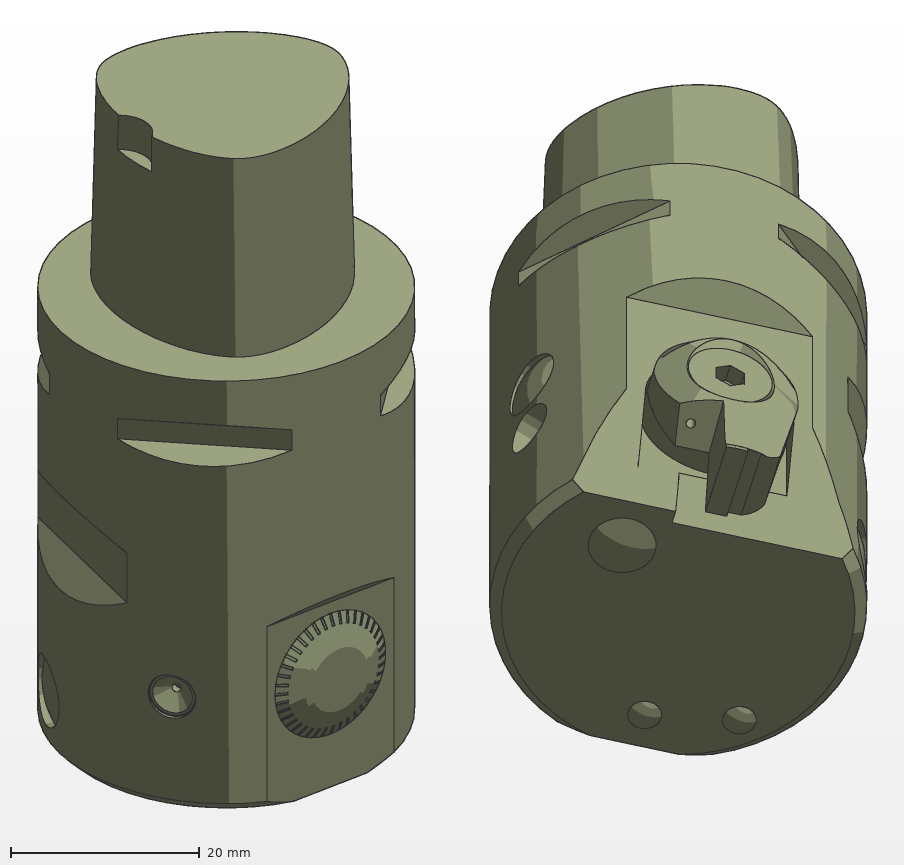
import cadquery as cq
import math


BODY_RADIUS = 20.0
BODY_BOTTOM = -53.1
BOTTOM_CHAMFER = 1.25

SHANK_HEIGHT = 24.0
POLYGON_MEAN_RADIUS = 14.0
POLYGON_ECCENTRICITY = 1.0
TAPER_PER_SIDE = 1 / 40
SPLINE_STEPS = 8
NOTCH_RADIUS = 3.65
NOTCH_CENTRE_Y = -14.45
NOTCH_DEPTH = 4.2

CUT_REACH = 25.0
CUT_HALF_WIDTH = 30.0
OVERRUN = 1.0
GRIP_DISTANCE = 17.7
GRIP_Z = -7.95
GRIP_FLOOR_HALF = 1.25
GRIP_SLOPE = 0.577
FLAT_SLOPE = 1.0
FLAT_DISTANCE = 17.2
FLAT_TOP = -22.9
MARK_FLAT_BOTTOM = -28.95
MARK_FLAT_ANGLE = 260.0
DIAL_FLAT_DISTANCE = 18.1
DIAL_FLAT_TOP = -30.4

ARM_AXIS_Z = -39.2

RELIEF_SLOPE = 0.32
STEEP_RELIEF_TOP = -47.6
STEEP_RELIEF_SLOPE = 0.595
STEEP_RELIEF_EDGE_Y = 3.65
POCKET_RADIUS = 8.15
POCKET_FLOOR_X = -14.2

ARM_RADIUS = 7.9
ARM_BACK_X = -17.25
ARM_CONE_START_X = -19.95
ARM_FRONT_RADIUS = 12.2
ARM_TIP_Z = -56.0
ARM_TIP_X = -24.5
ARM_FRONT_TOP_X = -22.2
ARM_INSERT_Z = -52.2
ARM_INSERT_X = -23.72
NUB_ROOT_Z = -55.0
NUB_ROOT_X = -24.05
NUB_FACE_Z = -55.5
TIP_EDGE_Y = 1.15
TIP_LAND = 2.35
TIP_STEP = 0.6
SIDE_START_DROP = 1.5
SIDE_END = (-5.2, -53.2)
CORNER_MIDDLE = (-4.1, -54.6)
CORNER_END = (-2.75, ARM_TIP_Z + TIP_STEP)
HEEL_MIDDLE = (6.75, -44.2)
HEEL_END = (4.9, -47.6)
SHELF_FRONT_Z = -45.9
BACK_TILT_Z = -47.4
BACK_TILT_X = 1.65
COOLANT_HOLE_DIAMETER = 1.0
COOLANT_HOLE_Y = 3.9
COOLANT_HOLE_X = -20.0
COOLANT_HOLE_DEPTH = 4.0

SCREW_HEAD_DIAMETER = 9.2
SCREW_FACE_X = -21.65
SCREW_HEAD_BOTTOM_X = -17.6
SCREW_SHANK_DIAMETER = 5.0
SCREW_END_X = -8.0
HEX_ACROSS_CORNERS = 3.6
HEX_DEPTH = 2.0
SCREW_WELL_FLARE = 1.15

DIAL_BASE_RADIUS = 7.4
DIAL_RIM_RADIUS = 4.4
DIAL_FACE_RADIUS = 7.54 / 2
DIAL_RIM_X = 19.5
DIAL_FACE_X = 19.7
DIAL_SEAT_DEPTH = 3.0
DIAL_MARK_COUNT = 40
DIAL_MARK_LENGTH = 1.4
DIAL_MARK_WIDTH = 0.3
DIAL_MARK_DEPTH = 0.15

PLUG_DEPTH = 4.0
FRONT_PLUG = {"radius": 8.02 / 2, "rim": 19.05, "apex": 19.95}
FRONT_PLUG_ANGLE = 248.5
FRONT_PLUG_Z = -46.4
REAR_PLUG = {"radius": 7.54 / 2, "rim": 19.35, "apex": 20.4}
REAR_PLUG_ANGLE = 113.0
REAR_PLUG_Z = -28.9
BOTTOM_PLUG_RISE = 0.9
BOTTOM_PLUG = {"radius": 3.6, "rim": -BODY_BOTTOM, "apex": -BODY_BOTTOM + BOTTOM_PLUG_RISE}
BOTTOM_PLUG_XY = (-7.0, 8.0)
BUTTON_RADIUS = 1.8
BUTTON_HEIGHT = 0.55
BUTTON_XY = [(12.1, -9.9), (14.0, 0.0)]

SIDE_HOLE_DIAMETER = 6.0
SIDE_HOLE_ANGLE = 112.3
SIDE_HOLE_Z = -36.5
SIDE_HOLE_FLOOR = 14.0

SET_SCREW_ANGLE = 305.5
SET_SCREW_RADIUS = 5.01 / 2
SET_SCREW_RECESS_RADIUS = 5.25 / 2
SET_SCREW_FACE = 19.6
SET_SCREW_DISH_DEPTH = 1.5
SET_SCREW_DISH_RADIUS = 2.2
SET_SCREW_PIN_HOLE_RADIUS = 0.5
SET_SCREW_PIN_HOLE_DEPTH = 1.0
SET_SCREW_END = 14.0


def turned(points, arc_to=None):
    """Revolve a closed (radius, height) outline about Z; arc_to is an optional (middle, end) arc."""
    outline = cq.Workplane("XZ").polyline(points)
    if arc_to:
        outline = outline.threePointArc(*arc_to)
    return outline.close().revolve(360, (0, 0), (0, 1))


def aim_radially(shape, angle, z):
    """Turn a shape built along +Z so that it points outwards from the axis at the given angle."""
    return shape.rotate((0, 0, 0), (0, 1, 0), 90).rotate((0, 0, 0), (0, 0, 1), angle).translate((0, 0, z))


def aim_down(shape, position):
    """Turn a shape built along +Z so that it points down at the given (x, y)."""
    return shape.rotate((0, 0, 0), (1, 0, 0), 180).translate((*position, 0))


def rod(radius, start, end):
    return cq.Workplane("XY").workplane(offset=start).circle(radius).extrude(end - start)


def rod_along_x(radius, start, end):
    return aim_radially(rod(radius, start, end), 0, ARM_AXIS_Z)


def chordal_cut(profile, angle):
    """Prism of a (radius, z) profile running right across the head, square to the given angle."""
    prism = cq.Workplane("XZ").polyline(profile).close().extrude(CUT_HALF_WIDTH, both=True)
    return prism.rotate((0, 0, 0), (0, 0, 1), angle)


def flat_cut(distance, top, bottom, slope, angle):
    """Flat between two heights, with walls that open outwards by slope."""
    flare = (CUT_REACH - distance) * slope
    profile = [(distance, top), (CUT_REACH, top + flare), (CUT_REACH, bottom - flare), (distance, bottom)]
    return chordal_cut(profile, angle)



def polygon_point(theta, mean_radius, z):
    """Point of a three-lobed constant-width polygon with one lobe towards +Y."""
    lobe = 3 * (theta - math.pi / 2)
    support = mean_radius + POLYGON_ECCENTRICITY * math.cos(lobe)
    slope = -3 * POLYGON_ECCENTRICITY * math.sin(lobe)
    x = support * math.cos(theta) - slope * math.sin(theta)
    y = support * math.sin(theta) + slope * math.cos(theta)
    return cq.Vector(x, y, z)


def polygon_tangent(theta):
    return cq.Vector(-math.sin(theta), math.cos(theta), 0)


def polygon_wire(mean_radius, z):
    """Six splines, joined where the lobes meet the flatter sides."""
    span = math.pi / 3
    edges = []
    for side in range(6):
        start = side * span
        thetas = [start + span * step / SPLINE_STEPS for step in range(SPLINE_STEPS + 1)]
        points = [polygon_point(theta, mean_radius, z) for theta in thetas]
        tangents = [polygon_tangent(start), polygon_tangent(start + span)]
        edges.append(cq.Edge.makeSpline(points, tangents))
    return cq.Wire.assembleEdges(edges)


def make_shank():
    top_radius = POLYGON_MEAN_RADIUS - SHANK_HEIGHT * TAPER_PER_SIDE
    base = polygon_wire(POLYGON_MEAN_RADIUS, 0)
    top = polygon_wire(top_radius, SHANK_HEIGHT)
    shank = cq.Workplane(cq.Solid.makeLoft([base, top], True))
    notch = rod(NOTCH_RADIUS, SHANK_HEIGHT - NOTCH_DEPTH, SHANK_HEIGHT + OVERRUN)
    return shank.cut(notch.translate((0, NOTCH_CENTRE_Y, 0)))



def make_plug(radius, rim, apex):
    """Round plug along +Z with a spherical dome between its rim and its apex."""
    rise = apex - rim
    sphere_radius = (radius**2 + rise**2) / (2 * rise)
    half = radius / 2
    half_height = apex - sphere_radius + math.sqrt(sphere_radius**2 - half**2)
    outline = [(0, rim - PLUG_DEPTH), (radius, rim - PLUG_DEPTH), (radius, rim)]
    return turned(outline, arc_to=((half, half_height), (0, apex)))


def plug_hole(radius, rim, apex):
    return rod(radius, rim - PLUG_DEPTH, apex + OVERRUN)


def make_set_screw():
    dish_floor = SET_SCREW_FACE - SET_SCREW_DISH_DEPTH
    pin_hole_floor = dish_floor - SET_SCREW_PIN_HOLE_DEPTH
    return turned([
        (0, SET_SCREW_END),
        (SET_SCREW_RADIUS, SET_SCREW_END),
        (SET_SCREW_RADIUS, SET_SCREW_FACE),
        (SET_SCREW_DISH_RADIUS, SET_SCREW_FACE),
        (SET_SCREW_PIN_HOLE_RADIUS, dish_floor),
        (SET_SCREW_PIN_HOLE_RADIUS, pin_hole_floor),
        (0, pin_hole_floor),
    ])


def make_dial():
    seat_x = DIAL_FLAT_DISTANCE - DIAL_SEAT_DEPTH
    dial = turned([
        (0, seat_x),
        (DIAL_BASE_RADIUS, seat_x),
        (DIAL_BASE_RADIUS, DIAL_FLAT_DISTANCE),
        (DIAL_RIM_RADIUS, DIAL_RIM_X),
        (DIAL_FACE_RADIUS, DIAL_FACE_X),
        (0, DIAL_FACE_X),
    ])
    cone_angle = math.degrees(math.atan2(DIAL_RIM_X - DIAL_FLAT_DISTANCE, DIAL_BASE_RADIUS - DIAL_RIM_RADIUS))
    mark = cq.Workplane("XY").box(2 * DIAL_MARK_LENGTH, DIAL_MARK_WIDTH, 2 * DIAL_MARK_DEPTH)
    mark = mark.rotate((0, 0, 0), (0, 1, 0), cone_angle).translate((DIAL_BASE_RADIUS, 0, DIAL_FLAT_DISTANCE))
    for index in range(DIAL_MARK_COUNT):
        dial = dial.cut(mark.rotate((0, 0, 0), (0, 0, 1), index * 360 / DIAL_MARK_COUNT))
    return aim_radially(dial, 0, ARM_AXIS_Z)


def clamp_screw_blank():
    head = rod_along_x(SCREW_HEAD_DIAMETER / 2, SCREW_FACE_X, SCREW_HEAD_BOTTOM_X)
    return head.union(rod_along_x(SCREW_SHANK_DIAMETER / 2, SCREW_HEAD_BOTTOM_X, SCREW_END_X))


def make_clamp_screw():
    hexagon = cq.Workplane("XY").polygon(6, HEX_ACROSS_CORNERS).extrude(HEX_DEPTH)
    socket = aim_radially(hexagon, 0, ARM_AXIS_Z).translate((SCREW_FACE_X, 0, 0))
    return clamp_screw_blank().cut(socket)



def arm_front_envelope():
    """Convex column whose -X side is the leaning front face, flared outwards at the tip nub."""
    stations = [
        (ARM_AXIS_Z + ARM_RADIUS, ARM_FRONT_TOP_X),
        (ARM_INSERT_Z, ARM_INSERT_X),
        (NUB_ROOT_Z, NUB_ROOT_X),
        (NUB_FACE_Z, ARM_TIP_X),
        (ARM_TIP_Z, ARM_TIP_X),
    ]
    wires = []
    for z, front_x in stations:
        centre = cq.Vector(front_x + ARM_FRONT_RADIUS, 0, z)
        wires.append(cq.Wire.makeCircle(ARM_FRONT_RADIUS, centre, cq.Vector(0, 0, 1)))
    return cq.Workplane(cq.Solid.makeLoft(wires, True))


def arm_plate():
    """Arm outline across Y and Z, extruded along X."""
    shelf_back_z = HEEL_END[1]
    side_start = (-math.sqrt(ARM_RADIUS**2 - SIDE_START_DROP**2), ARM_AXIS_Z - SIDE_START_DROP)
    outline = (
        cq.Workplane("YZ")
        .moveTo(ARM_RADIUS, ARM_AXIS_Z)
        .threePointArc((0, ARM_AXIS_Z + ARM_RADIUS), side_start)
        .lineTo(*SIDE_END)
        .threePointArc(CORNER_MIDDLE, CORNER_END)
        .lineTo(TIP_EDGE_Y - TIP_LAND, ARM_TIP_Z + TIP_STEP)
        .lineTo(TIP_EDGE_Y - TIP_LAND, ARM_TIP_Z)
        .lineTo(TIP_EDGE_Y, ARM_TIP_Z)
        .lineTo(TIP_EDGE_Y, shelf_back_z)
        .lineTo(*HEEL_END)
        .threePointArc(HEEL_MIDDLE, (ARM_RADIUS, ARM_AXIS_Z))
        .close()
    )
    return outline.extrude(POCKET_FLOOR_X - ARM_TIP_X + OVERRUN).translate((ARM_TIP_X - OVERRUN, 0, 0))


def arm_back_cut():
    """Space behind the arm below the pocket boss; the back face tilts towards the axis at the tip."""
    profile = [
        (ARM_BACK_X, ARM_AXIS_Z + ARM_RADIUS + OVERRUN),
        (ARM_BACK_X, BACK_TILT_Z),
        (ARM_BACK_X + BACK_TILT_X, ARM_TIP_Z),
        (0, ARM_TIP_Z - OVERRUN),
        (0, ARM_AXIS_Z + ARM_RADIUS + OVERRUN),
    ]
    return chordal_cut(profile, 0)


def arm_shelf_cut():
    """Sloping underside of the heel, higher at the front than at the back."""
    back_z = HEEL_END[1]
    profile = [
        (ARM_TIP_X, SHELF_FRONT_Z),
        (ARM_BACK_X, back_z),
        (ARM_BACK_X, ARM_TIP_Z),
        (ARM_TIP_X, ARM_TIP_Z),
    ]
    prism = cq.Workplane("XZ").polyline(profile).close().extrude(-ARM_RADIUS)
    return prism.translate((0, TIP_EDGE_Y, 0))


def arm_head_cone():
    """Space outside the 45 degree cone that bevels the upper half of the arm head."""
    cone_length = ARM_CONE_START_X - ARM_TIP_X + OVERRUN
    cone = turned([
        (ARM_RADIUS + OVERRUN, -cone_length),
        (ARM_RADIUS + OVERRUN, 0),
        (ARM_RADIUS, 0),
        (ARM_RADIUS - cone_length, -cone_length),
    ])
    cone = aim_radially(cone, 0, ARM_AXIS_Z).translate((ARM_CONE_START_X, 0, 0))
    half_size = 2 * CUT_REACH
    upper_half = cq.Workplane("XY").box(2 * half_size, half_size, half_size, centered=(True, True, False))
    return cone.intersect(upper_half.translate((0, 0, ARM_AXIS_Z)))


def screw_well():
    """Flared opening in front of the clamp screw."""
    length = SCREW_FACE_X - ARM_TIP_X + OVERRUN
    head_radius = SCREW_HEAD_DIAMETER / 2
    mouth_radius = head_radius + length * SCREW_WELL_FLARE
    cone = turned([(0, 0), (head_radius, 0), (mouth_radius, -length), (0, -length)])
    return aim_radially(cone, 0, ARM_AXIS_Z).translate((SCREW_FACE_X, 0, 0))


def make_arm():
    arm = arm_plate().intersect(arm_front_envelope()).cut(arm_back_cut())
    arm = arm.union(rod_along_x(ARM_RADIUS, ARM_BACK_X, POCKET_FLOOR_X))
    arm = arm.cut(arm_shelf_cut()).cut(arm_head_cone()).cut(screw_well()).cut(clamp_screw_blank())
    coolant_hole = rod(COOLANT_HOLE_DIAMETER / 2, HEEL_END[1], HEEL_END[1] + COOLANT_HOLE_DEPTH)
    return arm.cut(coolant_hole.translate((COOLANT_HOLE_X, COOLANT_HOLE_Y, 0)))



def arm_relief():
    """Side flat, the two sloping facets below it and the pocket for the arm boss."""
    below = BODY_BOTTOM - OVERRUN
    flat = flat_cut(FLAT_DISTANCE, FLAT_TOP, below, FLAT_SLOPE, 180)
    facet_x = -FLAT_DISTANCE + (ARM_AXIS_Z - below) * RELIEF_SLOPE
    facet = chordal_cut([(-FLAT_DISTANCE, ARM_AXIS_Z), (facet_x, below), (-CUT_REACH, below)], 0)
    steep_start_x = -FLAT_DISTANCE + (ARM_AXIS_Z - STEEP_RELIEF_TOP) * RELIEF_SLOPE
    steep_x = steep_start_x + (STEEP_RELIEF_TOP - below) * STEEP_RELIEF_SLOPE
    steep_profile = [(steep_start_x, STEEP_RELIEF_TOP), (steep_x, below), (-CUT_REACH, below)]
    steep = cq.Workplane("XZ").polyline(steep_profile).close().extrude(CUT_HALF_WIDTH)
    steep = steep.translate((0, STEEP_RELIEF_EDGE_Y, 0))
    pocket_length = POCKET_FLOOR_X + CUT_REACH
    pocket = rod_along_x(POCKET_RADIUS, -CUT_REACH, POCKET_FLOOR_X)
    slot_height = ARM_AXIS_Z - below
    slot_centring = (False, True, False)
    slot = cq.Workplane("XY").box(pocket_length, 2 * POCKET_RADIUS, slot_height, centered=slot_centring)
    slot = slot.translate((-CUT_REACH, 0, below))
    return [flat, facet, steep, pocket, slot]


def set_screw_hole():
    """Hole for the set screw, slightly wider in front of the screw face."""
    hole = rod(SET_SCREW_RADIUS, SET_SCREW_END, CUT_REACH)
    return hole.union(rod(SET_SCREW_RECESS_RADIUS, SET_SCREW_FACE, CUT_REACH))


def make_body():
    body = rod(BODY_RADIUS, BODY_BOTTOM, 0).faces("<Z").chamfer(BOTTOM_CHAMFER)
    body = body.union(make_shank())
    cuts = arm_relief()
    grip_top = GRIP_Z + GRIP_FLOOR_HALF
    grip_bottom = GRIP_Z - GRIP_FLOOR_HALF
    for angle in (45, 135, 225, 315):
        cuts.append(flat_cut(GRIP_DISTANCE, grip_top, grip_bottom, GRIP_SLOPE, angle))
    cuts.append(flat_cut(FLAT_DISTANCE, FLAT_TOP, MARK_FLAT_BOTTOM, FLAT_SLOPE, MARK_FLAT_ANGLE))
    cuts.append(flat_cut(DIAL_FLAT_DISTANCE, DIAL_FLAT_TOP, BODY_BOTTOM - OVERRUN, FLAT_SLOPE, 0))
    cuts.append(aim_radially(plug_hole(**FRONT_PLUG), FRONT_PLUG_ANGLE, FRONT_PLUG_Z))
    cuts.append(aim_radially(plug_hole(**REAR_PLUG), REAR_PLUG_ANGLE, REAR_PLUG_Z))
    cuts.append(aim_down(plug_hole(**BOTTOM_PLUG), BOTTOM_PLUG_XY))
    side_hole = rod(SIDE_HOLE_DIAMETER / 2, SIDE_HOLE_FLOOR, CUT_REACH)
    cuts.append(aim_radially(side_hole, SIDE_HOLE_ANGLE, SIDE_HOLE_Z))
    cuts.append(aim_radially(set_screw_hole(), SET_SCREW_ANGLE, ARM_AXIS_Z))
    cuts.append(clamp_screw_blank())
    cuts.append(rod_along_x(DIAL_BASE_RADIUS, DIAL_FLAT_DISTANCE - DIAL_SEAT_DEPTH, CUT_REACH))
    for cut in cuts:
        body = body.cut(cut)
    button = {"radius": BUTTON_RADIUS, "rim": -BODY_BOTTOM, "apex": -BODY_BOTTOM + BUTTON_HEIGHT}
    for position in BUTTON_XY:
        body = body.union(aim_down(make_plug(**button), position))
    return body


dial = make_dial()
body = make_body()
arm = make_arm()
clamp_screw = make_clamp_screw()
front_plug = aim_radially(make_plug(**FRONT_PLUG), FRONT_PLUG_ANGLE, FRONT_PLUG_Z)
rear_plug = aim_radially(make_plug(**REAR_PLUG), REAR_PLUG_ANGLE, REAR_PLUG_Z)
bottom_plug = aim_down(make_plug(**BOTTOM_PLUG), BOTTOM_PLUG_XY)
set_screw = aim_radially(make_set_screw(), SET_SCREW_ANGLE, ARM_AXIS_Z)

bodies = [body, arm, clamp_screw, dial, front_plug, rear_plug, bottom_plug, set_screw]
result = cq.Compound.makeCompound([item.solids().val() for item in bodies])